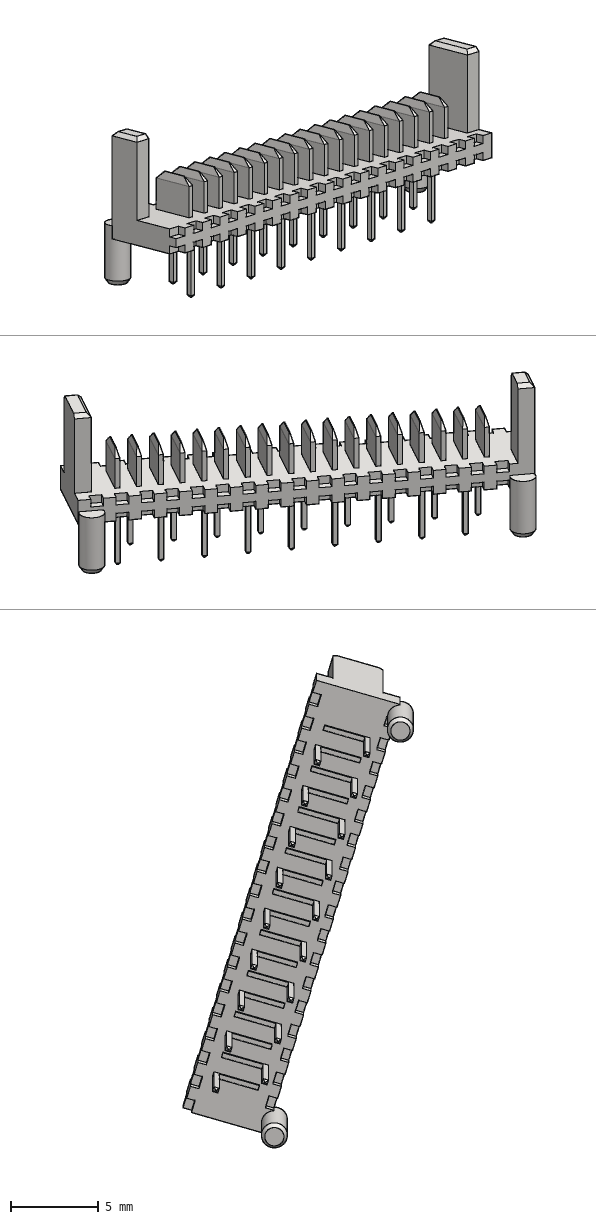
import cadquery as cq

base_length = 26.7
base_width = 5.0
base_height = 1.5

notch_count = 18
notch_pitch = base_length / notch_count
notch_length = notch_pitch / 2
notch_depth = 0.5
notch_height = 0.48

wall_top = 6.4
wall_thickness = 1.0
wall_chamfer = 0.25
front_wall_x = (0.0, 1.95)
back_wall_x = (1.01, 4.0)

peg_diameter = 1.5
peg_overhang = 1.0
peg_top = 0.77
peg_bottom = -2.8
peg_tip_height = 0.3
peg_tip_inset = 0.2

contact_count = 18
contact_row_length = 21.6
contact_pitch = contact_row_length / (contact_count - 1)
contact_thickness = 0.3
blade_left = 1.23
blade_width = 2.55
blade_top = 3.85
blade_bottom = -0.15
blade_bevel_height = 0.48
blade_bevel_width = 0.53
blade_ridge_width = 0.05
tail_width = 0.32
tail_bottom = -3.28
tail_tip_height = 0.15
tail_tip_width = 0.05

base_end = base_length / 2
blade_right = blade_left + blade_width


def box(x_range, y_range, z_range):
    """Box spanning the given (low, high) range along each axis."""
    sizes = [high - low for low, high in (x_range, y_range, z_range)]
    corner = (x_range[0], y_range[0], z_range[0])
    return cq.Workplane("XY").box(*sizes, centered=False).translate(corner)


def notched_base():
    """Base bar with notched edges; the -X edge stays whole under the front wall."""
    base = box((0, base_width), (-base_end, base_end), (0, base_height))
    z_ranges = [(0, notch_height), (base_height - notch_height, base_height)]
    for index in range(notch_count):
        y_low = -base_end + index * notch_pitch
        y_range = (y_low, y_low + notch_length)
        x_ranges = [(base_width - notch_depth, base_width)]
        if index > 0:
            x_ranges.append((0, notch_depth))
        for x_range in x_ranges:
            for z_range in z_ranges:
                base = base.cut(box(x_range, y_range, z_range))
    return base


def end_wall(x_range, y_low):
    """Upright wall whose top is chamfered on every side except +Y."""
    wall = box(x_range, (y_low, y_low + wall_thickness), (0, wall_top))
    return wall.faces(">Z").edges("<X or >X or <Y").chamfer(wall_chamfer)


def peg(y_center):
    """Round peg with a tapered lower tip."""
    radius = peg_diameter / 2
    profile = (
        cq.Workplane("XZ")
        .moveTo(0, peg_top)
        .lineTo(radius, peg_top)
        .lineTo(radius, peg_bottom + peg_tip_height)
        .lineTo(radius - peg_tip_inset, peg_bottom)
        .lineTo(0, peg_bottom)
        .close()
    )
    body = profile.revolve(360, (0, 0), (0, 1))
    return body.translate((radius - peg_overhang, y_center, 0))


def tapered_bar(side_points, end_points, x_center):
    """Bar sharing an XZ outline and a YZ outline that is centred on Y = 0."""
    side = cq.Workplane("XZ").polyline(side_points).close().extrude(contact_thickness / 2, both=True)
    end = cq.Workplane("YZ").polyline(end_points).close().extrude(blade_width, both=True)
    return side.intersect(end.translate((x_center, 0, 0)))


def blade():
    """Flat blade through the base, bevelled on all four sides to a narrow ridge at its top."""
    half = contact_thickness / 2
    shoulder = blade_top - blade_bevel_height
    side_points = [
        (blade_left, blade_bottom),
        (blade_right, blade_bottom),
        (blade_right, shoulder),
        (blade_right - blade_bevel_width, blade_top),
        (blade_left + blade_bevel_width, blade_top),
        (blade_left, shoulder),
    ]
    end_points = [
        (-half, blade_bottom),
        (half, blade_bottom),
        (half, shoulder),
        (blade_ridge_width / 2, blade_top),
        (-blade_ridge_width / 2, blade_top),
        (-half, shoulder),
    ]
    return tapered_bar(side_points, end_points, blade_left + blade_width / 2)


def tail(x_center):
    """Solder tail below the base, tapering on four sides to a small flat tip."""

    def outline(center, half):
        shoulder = tail_bottom + tail_tip_height
        return [
            (center - half, base_height / 2),
            (center + half, base_height / 2),
            (center + half, shoulder),
            (center + tail_tip_width / 2, tail_bottom),
            (center - tail_tip_width / 2, tail_bottom),
            (center - half, shoulder),
        ]

    side_points = outline(x_center, tail_width / 2)
    end_points = outline(0, contact_thickness / 2)
    return tapered_bar(side_points, end_points, x_center)


result = notched_base()
result = result.union(end_wall(front_wall_x, -base_end))
result = result.union(end_wall(back_wall_x, base_end - wall_thickness))

peg_y = base_end - peg_diameter / 2
for y_center in (-peg_y, peg_y):
    result = result.union(peg(y_center))

contacts = [blade().union(tail(blade_right)), blade().union(tail(blade_left))]
for index in range(contact_count):
    y_center = -contact_row_length / 2 + index * contact_pitch
    result = result.union(contacts[index % 2].translate((0, y_center, 0)))